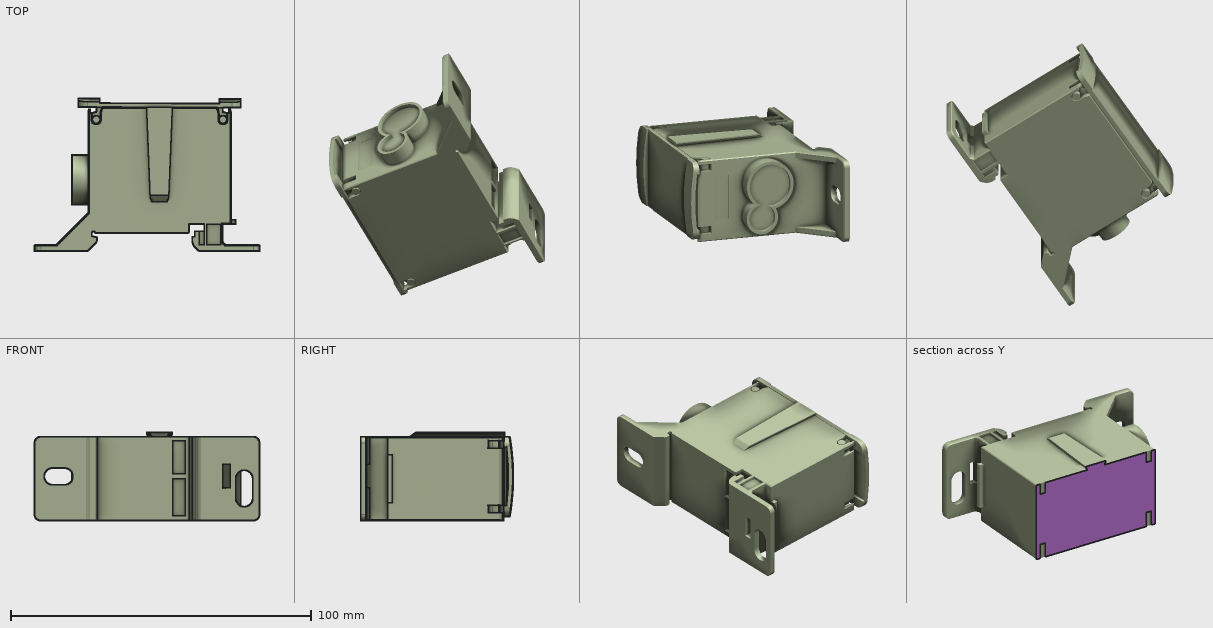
import cadquery as cq

total_width = 75.0
total_depth = 50.93
total_height = 29.4
body_height = 28.0
edge_chamfer = 0.3
front_corner_radius = 0.4

body_left = 17.9
body_right = 65.5
body_front = 6.0
body_back = 47.65
body_middle = (body_left + body_right) / 2

foot_thickness = 2.1
foot_corner_radius = 2.1
gusset_thickness = 2.0
gusset_start_x = 7.3
gusset_top_y = foot_thickness + body_left - gusset_start_x

left_slot_centre = (8.05, 14.75)
left_slot_length = 9.5
left_slot_width = 5.5
right_slot_centre = (69.9, 10.75)
right_slot_length = 12.1
right_slot_width = 5.6
latch_window_right = 65.3
latch_window_z = (10.9, 18.8)

window_left = 46.1
window_right = 50.2
window_spans_z = [(1.65, 13.95), (15.6, 26.7)]
window_depth = 1.2

label_y = (36.4, 41.5)
label_z = (7.25, 22.2)
label_depth = 0.1
tab_right = 67.0
tab_back = 10.5
tab_z = (6.0, 22.0)

hook_toe_x = 17.8
hook_nose_x = 20.85
hook_nose_y = 4.6
hook_nose_radius = 1.5
hook_throat_x = 19.15
hook_throat_y = 5.0
throat_relief_start = 0.2
throat_relief_height = 0.55
throat_relief_width = 1.05
toe_radius = 0.8
foot_root_radius = 1.1

clip_notch_left = 51.5
clip_seat_y = 9.0
clip_nose_x = 52.5
clip_nose_y = 4.8
clip_nose_radius = 3.7
clip_toe_x = 54.7
clip_step_x = 53.4
clip_lip_y = 6.6
clip_web_left = 56.5
clip_web_right = 57.4
clip_right = 62.7
clip_recess_depth = 1.0
clip_groove_left = 54.9
clip_outer_wall = 0.7
clip_root_bevel = 0.9

inlet_circles = [(23.65, 18.75, 8.25), (26.45, 7.75, 5.55)]
inlet_end_x = 12.5
inlet_rim = 1.0
inlet_recess_depth = 1.5

cover_width = 54.2
cover_bottom_z = 1.4
cover_corner_radius = 3.0
cover_inner_y = 47.95
cover_plate_y = 49.35
cover_end_y = 49.75
cover_grip_width = 7.2
cover_tilt = 0.23
grip_wall = 1.45
grip_recess_length = 5.8
grip_recess_height = 19.4
grip_ramp_length = 1.5

pin_x = 20.6
pin_y = 43.8
pin_radius = 1.3
strap_clearance = 0.3
strap_overlap = 0.3
strap_shoulder_y = 46.4
strap_flare_y = 45.5
strap_flare = 1.0
strap_width_z = 2.5
strap_edge_gap = 1.3
lip_thickness = 0.7
lip_top_y = 47.2
lip_bevel_y = 46.3
lip_bevel_depth = 0.25
notch_floor_y = 46.0

tongue_height = total_height - body_height
tongue_middle = 41.65
tongue_lip = 0.4
tongue_undercut = 0.5
tongue_end_y = 16.45
tongue_bevel_length = 2.05
tongue_back_width = 8.6
tongue_front_width = 6.1

margin = 1.0


def box(x0, x1, y0, y1, z0, z1):
    return cq.Workplane("XY").box(x1 - x0, y1 - y0, z1 - z0, centered=False).translate((x0, y0, z0))


def mirror_sideways(shape):
    """Mirror a shape across the middle plane of the body."""
    return shape.mirror("YZ", (body_middle, 0, 0))


def near(x0, x1, y0, y1, z0, z1):
    """Select the edges whose centre lies in the given box."""
    return cq.selectors.BoxSelector((x0, y0, z0), (x1, y1, z1))


def round_edges(body):
    """Round the rail hooks and the feet, then chamfer the outer edges of the side walls."""
    gap = 0.05
    below = -gap
    above = body_height + gap

    def along_z(x, y):
        return near(x - gap, x + gap, y - gap, y + gap, below, above)

    body = body.edges(along_z(hook_toe_x, 0) + along_z(clip_toe_x, 0)).fillet(toe_radius)
    body = body.edges(along_z(hook_nose_x, hook_nose_x - hook_toe_x)).fillet(hook_nose_radius)
    body = body.edges(along_z(clip_nose_x, clip_toe_x - clip_nose_x)).fillet(clip_nose_radius)
    body = body.edges(along_z(clip_notch_left, body_front)).fillet(front_corner_radius)

    foot_top = foot_thickness + gap
    foot_tips = near(below, gap, below, foot_top, below, above)
    foot_tips += near(total_width - gap, total_width + gap, below, foot_top, below, above)
    body = body.edges("|Y").edges(foot_tips).fillet(foot_corner_radius)

    foot_rim = foot_thickness - gap
    wall_top = body_back - gap
    chamfered = near(below, gap, foot_rim, foot_top, below, above)
    chamfered += near(total_width - gap, total_width + gap, foot_rim, foot_top, below, above)
    for z0, z1 in ((below, foot_corner_radius), (body_height - foot_corner_radius, above)):
        chamfered += near(below, body_left + gap, foot_rim, wall_top, z0, z1)
        chamfered += near(clip_right - gap, total_width + gap, foot_rim, wall_top, z0, z1)
    return body.edges(chamfered).chamfer(edge_chamfer)


def make_body():
    """Housing with both rail feet, as one prism along Z."""
    relief_crown = (hook_throat_x + throat_relief_width / 3, body_front + throat_relief_height)
    outline = (
        cq.Workplane("XY")
        .moveTo(0, 0)
        .lineTo(hook_toe_x, 0)
        .lineTo(hook_nose_x, hook_nose_x - hook_toe_x)
        .lineTo(hook_nose_x, hook_nose_y)
        .lineTo(hook_throat_x, hook_throat_y)
        .lineTo(hook_throat_x, body_front + throat_relief_start)
        .threePointArc(relief_crown, (hook_throat_x + throat_relief_width, body_front))
        .lineTo(clip_notch_left, body_front)
        .lineTo(clip_notch_left, clip_seat_y)
        .lineTo(clip_web_left, clip_seat_y)
        .lineTo(clip_web_left, clip_lip_y)
        .lineTo(clip_step_x, clip_lip_y)
        .lineTo(clip_step_x, clip_nose_y)
        .lineTo(clip_nose_x, clip_nose_y)
        .lineTo(clip_nose_x, clip_toe_x - clip_nose_x)
        .lineTo(clip_toe_x, 0)
        .lineTo(total_width, 0)
        .lineTo(total_width, foot_thickness)
        .lineTo(clip_right + clip_root_bevel, foot_thickness)
        .lineTo(clip_right, foot_thickness + clip_root_bevel)
        .lineTo(clip_right, clip_seat_y)
        .lineTo(body_right, clip_seat_y)
        .lineTo(body_right, body_back)
        .lineTo(body_left, body_back)
        .lineTo(body_left, gusset_top_y)
        .lineTo(gusset_start_x, foot_thickness)
        .lineTo(0, foot_thickness)
        .close()
    )
    return round_edges(outline.extrude(body_height))


def gusset_hollow():
    """Open space between the two gussets of the left foot."""
    z1 = body_height - gusset_thickness
    hollow = box(0, body_left, foot_thickness, gusset_top_y + margin, gusset_thickness, z1)
    return hollow.edges("|Z and >X and <Y").fillet(foot_root_radius)


def foot_slots():
    """Screw slots in both feet and the latch window beside the clip."""
    plane = cq.Workplane("XZ", origin=(0, foot_thickness + margin, 0))
    length = foot_thickness + 2 * margin
    left = plane.center(*left_slot_centre).slot2D(left_slot_length, left_slot_width).extrude(length)
    right = plane.center(*right_slot_centre).slot2D(right_slot_length, right_slot_width, 90).extrude(length)
    latch_z0, latch_z1 = latch_window_z
    latch = box(clip_right, latch_window_right, -margin, foot_thickness + margin, latch_z0, latch_z1)
    return left.union(right).union(latch)


def front_windows():
    """Two shallow pockets in the face toward the rail."""
    windows = cq.Workplane("XY")
    for z0, z1 in window_spans_z:
        windows = windows.union(box(window_left, window_right, body_front, body_front + window_depth, z0, z1))
    return windows


def label_recess():
    return box(body_left, body_left + label_depth, *label_y, *label_z)


def side_tab():
    return box(body_right, tab_right, clip_seat_y, tab_back, *tab_z)


def clip_recesses():
    """Pockets at both ends of the rail clip."""
    floor_y = foot_thickness
    pockets = cq.Workplane("XY")
    for z0 in (0, body_height - clip_recess_depth):
        z1 = z0 + clip_recess_depth
        pockets = pockets.union(box(clip_groove_left, clip_web_left, floor_y, clip_lip_y, z0, z1))
        pockets = pockets.union(box(clip_web_right, clip_right - clip_outer_wall, floor_y, clip_seat_y, z0, z1))
    return pockets


def figure_eight(inset, x0, x1):
    shape = cq.Workplane("XY")
    for y, z, radius in inlet_circles:
        disc = cq.Workplane("YZ", origin=(x0, y, z)).circle(radius - inset).extrude(x1 - x0)
        shape = shape.union(disc)
    return shape


def cable_inlet():
    """Figure-eight boss with a raised rim."""
    outer = figure_eight(0, inlet_end_x, body_left)
    return outer.cut(figure_eight(inlet_rim, inlet_end_x, inlet_end_x + inlet_recess_depth))


def strap_outline(clearance):
    """Left hinge strap seen along Z; clearance enlarges it for the slot in the body."""
    r = pin_radius + clearance
    right = pin_x + r
    top = cover_inner_y + strap_overlap
    return (
        cq.Workplane("XY")
        .moveTo(pin_x, top)
        .lineTo(pin_x, strap_shoulder_y)
        .lineTo(pin_x - r, notch_floor_y)
        .lineTo(pin_x - r, pin_y)
        .threePointArc((pin_x, pin_y - r), (right, pin_y))
        .lineTo(right, strap_flare_y)
        .threePointArc((right + strap_flare / 4, (strap_flare_y + top) / 2), (right + strap_flare, top))
        .close()
    )


def strap_levels():
    """Bottom Z of the two hinge straps."""
    return (cover_bottom_z + strap_edge_gap, body_height - strap_edge_gap - strap_width_z)


def hinge_cut():
    """Blind strap slots, the gap behind the lip and the strap windows in the left wall."""
    low, high = strap_levels()
    slot = strap_outline(strap_clearance).extrude(low + strap_width_z)
    upper = strap_outline(strap_clearance).extrude(body_height - high).translate((0, 0, high))
    cut = slot.union(upper)
    top = body_back + margin
    z1 = body_height + margin
    cut = cut.union(box(body_left + lip_thickness, pin_x, notch_floor_y, top, -margin, z1))
    cut = cut.union(box(body_left - margin, pin_x, lip_top_y, top, -margin, z1))
    bevel = (
        cq.Workplane("XY")
        .polyline([(body_left, lip_bevel_y), (body_left, lip_top_y), (body_left + lip_bevel_depth, lip_top_y)])
        .close()
        .extrude(body_height)
    )
    cut = cut.union(bevel)
    for z in (low, high):
        cut = cut.union(box(body_left - margin, pin_x, pin_y - pin_radius, body_back, z, z + strap_width_z))
    return cut


def hinge_straps():
    """Left hinge pin with its two straps."""
    low, high = strap_levels()
    straps = cq.Workplane("XY", origin=(pin_x, pin_y, 0)).circle(pin_radius).extrude(body_height)
    for z in (low, high):
        straps = straps.union(strap_outline(0).extrude(strap_width_z).translate((0, 0, z)))
    return straps


def cover_plate():
    """Cover with an arched grip at each end and a flat middle."""
    x0 = body_middle - cover_width / 2
    x1 = x0 + cover_width
    z0 = cover_bottom_z
    z1 = body_height
    zm = (z0 + z1) / 2
    arched = (
        cq.Workplane("YZ", origin=(x0, 0, 0))
        .moveTo(cover_inner_y, z0)
        .lineTo(cover_end_y, z0)
        .threePointArc((total_depth, zm), (cover_end_y, z1))
        .lineTo(cover_inner_y, z1)
        .close()
        .extrude(cover_width)
    )
    arched = arched.edges("|Y").fillet(cover_corner_radius)
    middle = box(x0 + cover_grip_width, x1 - cover_grip_width, cover_plate_y, total_depth + margin, z0, z1)
    cover = arched.cut(middle)
    half = grip_recess_height / 2
    crown = total_depth - grip_wall
    shoulder = crown - (total_depth - cover_end_y) * (half / (zm - z0)) ** 2
    recess = (
        cq.Workplane("YZ", origin=(x0, 0, 0))
        .moveTo(cover_inner_y, zm - half)
        .lineTo(shoulder, zm - half)
        .threePointArc((crown, zm), (shoulder, zm + half))
        .lineTo(cover_inner_y, zm + half)
        .close()
        .extrude(grip_recess_length)
    )
    ramp_back = x0 + grip_recess_length
    ramp = (
        cq.Workplane("XY", origin=(0, 0, zm - half))
        .polyline([(ramp_back, cover_inner_y), (ramp_back, shoulder), (ramp_back - grip_ramp_length, cover_inner_y)])
        .close()
        .extrude(grip_recess_height)
    )
    recess = recess.cut(ramp)
    cover = cover.cut(recess).cut(mirror_sideways(recess))
    return cover.rotate((x0, total_depth, 0), (x0, total_depth, 1), -cover_tilt)


def tongue():
    """Dovetail tongue tapering toward the rail, with a bevelled end."""
    top = body_height + tongue_height

    def section(y, width):
        half = width / 2
        base = half - tongue_undercut
        points = [
            (tongue_middle - base, body_height),
            (tongue_middle + base, body_height),
            (tongue_middle + half, top - tongue_lip),
            (tongue_middle + half, top),
            (tongue_middle - half, top),
            (tongue_middle - half, top - tongue_lip),
        ]
        return cq.Wire.makePolygon([cq.Vector(x, y, z) for x, z in points], close=True)

    solid = cq.Solid.makeLoft(
        [section(tongue_end_y, tongue_front_width), section(cover_inner_y, tongue_back_width)], True
    )
    bevel = (
        cq.Workplane("YZ")
        .polyline([(tongue_end_y, body_height), (tongue_end_y, top), (tongue_end_y + tongue_bevel_length, top)])
        .close()
        .extrude(total_width)
    )
    return cq.Workplane(obj=solid).cut(bevel)


body = make_body()
body = body.cut(gusset_hollow()).cut(foot_slots()).cut(front_windows()).cut(clip_recesses())
body = body.cut(label_recess())
body = body.cut(hinge_cut()).cut(mirror_sideways(hinge_cut()))
body = body.union(side_tab())
body = body.union(cable_inlet()).union(tongue())
result = body.union(cover_plate()).union(hinge_straps()).union(mirror_sideways(hinge_straps()))